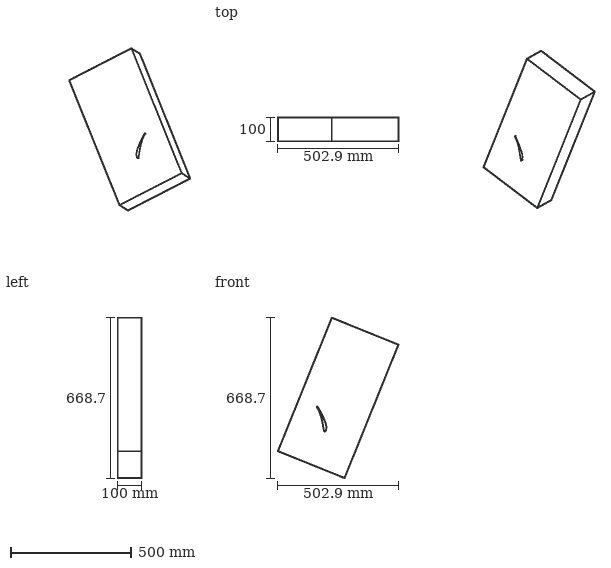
import cadquery as cq
import math

block_width = 300.0
block_length = 600.0
block_depth = 100.0
block_tilt = 22.0

nose_x = -57.2
nose_z = -139.5
tail_x = -89.6
tail_z = -37.0
tail_thickness = 2.2
chord = math.hypot(tail_x - nose_x, tail_z - nose_z)
chord_angle = math.degrees(math.atan2(tail_z - nose_z, tail_x - nose_x))

concave_side = [
    (0.055, -0.6),
    (0.16, 1.0),
    (0.385, 4.2),
    (0.56, 5.5),
    (0.70, 5.5),
    (0.85, 4.4),
    (0.95, 1.6),
]
convex_side = [
    (0.02, 6.0),
    (0.09, 11.0),
    (0.143, 13.1),
    (0.274, 14.9),
    (0.47, 13.6),
    (0.663, 11.0),
    (0.85, 7.0),
    (0.95, 4.3),
]


def make_block():
    block = cq.Workplane("XZ").box(block_width, block_length, block_depth)
    return block.rotate((0, 0, 0), (0, 1, 0), block_tilt)


def surface_points(side):
    """Points of one blade surface, with local x along the chord and +X of the part toward local -y."""
    return [(fraction * chord, -height) for fraction, height in side]


def make_blade():
    """Blade prism along Y, long enough to pass through the whole block."""
    nose = (0.0, 0.0)
    concave_tail = (chord, 0.0)
    convex_tail = (chord, -tail_thickness)
    tail_to_nose = surface_points(reversed(concave_side))
    nose_to_tail = surface_points(convex_side)
    return (
        cq.Workplane("XZ")
        .transformed(rotate=(0, 0, chord_angle), offset=(nose_x, nose_z, 0))
        .spline([concave_tail] + tail_to_nose + [nose] + nose_to_tail + [convex_tail])
        .close()
        .extrude(block_depth, both=True)
    )


result = make_block().cut(make_blade())